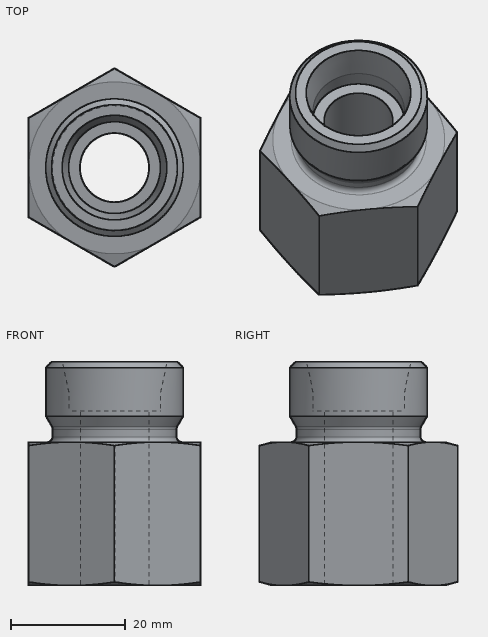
import cadquery as cq
import math

total_height = 39.0
hex_across_flats = 30.0
hex_height = 25.0
hex_chamfer_angle = math.radians(15)

spigot_radius = 24.0 / 2
tip_chamfer = 1.0
spigot_length = 9.48
neck_radius = 21.7 / 2
neck_taper_angle = math.radians(30)
neck_blend_radius = 1.0
neck_fillet = 0.95

mouth_radius = 18.25 / 2
seat_radius = 16.0 / 2
through_radius = 12.0 / 2
cone_half_angle = math.radians(12)
seat_depth = 8.5

hex_corner_radius = hex_across_flats / math.sqrt(3)
spigot_bottom = total_height - spigot_length


def revolve_profile(profile):
    """Revolve a profile of (radius, height) points about Z."""
    return profile.close().revolve(360, (0, 0, 0), (0, 1, 0))


def make_hexagon():
    """Hexagon with corners on Y, both ends trimmed by shallow cones."""
    prism = (
        cq.Workplane("XY")
        .polygon(6, 2 * hex_corner_radius)
        .extrude(hex_height)
        .rotate((0, 0, 0), (0, 0, 1), 30)
    )
    flat_radius = hex_across_flats / 2
    outer_radius = 1.1 * hex_corner_radius
    cone_drop = (outer_radius - flat_radius) * math.tan(hex_chamfer_angle)
    envelope = revolve_profile(
        cq.Workplane("XZ").polyline([
            (0, 0),
            (flat_radius, 0),
            (outer_radius, cone_drop),
            (outer_radius, hex_height - cone_drop),
            (flat_radius, hex_height),
            (0, hex_height),
        ])
    )
    return prism.intersect(envelope)


def make_spigot():
    """Chamfered spigot with a tapered undercut and a filleted neck."""
    embed_depth = 0.4
    blend_top_radius = neck_radius + neck_blend_radius * (1 - math.cos(neck_taper_angle))
    blend_top = spigot_bottom - (spigot_radius - blend_top_radius) / math.tan(neck_taper_angle)
    blend_bottom = blend_top - neck_blend_radius * math.sin(neck_taper_angle)
    root_radius = neck_radius + neck_fillet
    return revolve_profile(
        cq.Workplane("XZ")
        .moveTo(0, hex_height - embed_depth)
        .lineTo(root_radius, hex_height - embed_depth)
        .lineTo(root_radius, hex_height)
        .radiusArc((neck_radius, hex_height + neck_fillet), neck_fillet)
        .lineTo(neck_radius, blend_bottom)
        .radiusArc((blend_top_radius, blend_top), neck_blend_radius)
        .lineTo(spigot_radius, spigot_bottom)
        .lineTo(spigot_radius, total_height - tip_chamfer)
        .lineTo(spigot_radius - tip_chamfer, total_height)
        .lineTo(0, total_height)
    )


def make_bore():
    """Stepped through bore with a conical mouth at the spigot end."""
    cone_depth = (mouth_radius - seat_radius) / math.tan(cone_half_angle)
    return revolve_profile(
        cq.Workplane("XZ").polyline([
            (0, 0),
            (through_radius, 0),
            (through_radius, total_height - seat_depth),
            (seat_radius, total_height - seat_depth),
            (seat_radius, total_height - cone_depth),
            (mouth_radius, total_height),
            (0, total_height),
        ])
    )


result = make_hexagon().union(make_spigot()).cut(make_bore())